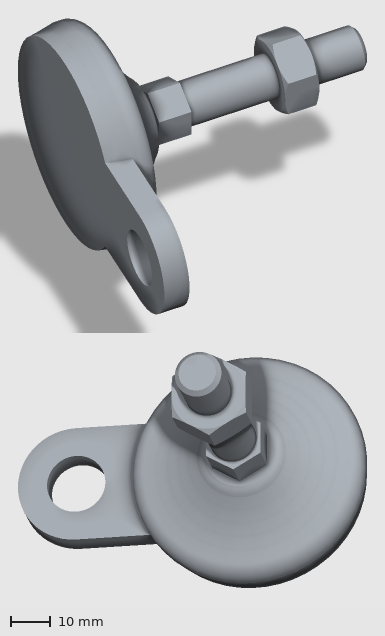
import cadquery as cq
import math


sole_radius = 28.5
rim_radius = 30.0
rim_start = 7.6
rim_end = 9.0
shoulder_radius = 4.2
shoulder_angle = 80.0
flare_end_radius = 11.4
flare_end = 20.4
crown_radius = 9.0
crown_sag = 0.25
foot_height = 22.0

lug_width = 30.0
lug_thickness = 7.0
lug_hole_offset = 45.0
lug_hole_diameter = 15.0

neck_diameter = 10.0
neck_length = 1.0
stud_hex_flats = 14.0
stud_hex_length = 9.0
stud_diameter = 12.0
stud_end = 82.0
stud_chamfer = 1.2

nut_flats = 19.0
nut_start = 57.0
nut_height = 9.5
nut_chamfer_angle = 30.0

hex_sides = 6
hex_half_angle = 180 / hex_sides

stud_hex_start = foot_height + neck_length


def plane_at(y):
    """Plane square to the stud axis at height y, with local x = X and normal = +Y."""
    return cq.Plane(origin=(0, y, 0), xDir=(1, 0, 0), normal=(0, 1, 0))


def cylinder(diameter, start, end):
    return cq.Workplane(plane_at(start)).circle(diameter / 2).extrude(end - start)


def corner_radius_of(flats):
    """Distance from the axis to a corner of a hexagon of the given width across flats."""
    return flats / 2 / math.cos(math.radians(hex_half_angle))


def hexagon(flats, start, length):
    """Hexagonal prism with two flats facing +X and -X."""
    corner_diameter = 2 * corner_radius_of(flats)
    prism = cq.Workplane(plane_at(start)).polygon(hex_sides, corner_diameter).extrude(length)
    return prism.rotate((0, 0, 0), (0, 1, 0), hex_half_angle)


def revolve_about_stud(profile):
    return profile.close().revolve(360, (0, 0, 0), (0, 1, 0))


def bowed_point(start, end, bow):
    """Midpoint of start-end moved by bow to the right of the direction of travel."""
    dx = end[0] - start[0]
    dy = end[1] - start[1]
    length = math.hypot(dx, dy)
    return (
        (start[0] + end[0]) / 2 + bow * dy / length,
        (start[1] + end[1]) / 2 - bow * dx / length,
    )


def make_foot():
    def shoulder_point(angle):
        turn = math.radians(angle)
        return (
            rim_radius - shoulder_radius * (1 - math.cos(turn)),
            rim_end + shoulder_radius * math.sin(turn),
        )

    shoulder_end = shoulder_point(shoulder_angle)
    flare_top = (flare_end_radius, flare_end)
    crown_edge = (crown_radius, foot_height)
    profile = (
        cq.Workplane("XY")
        .lineTo(sole_radius, 0)
        .lineTo(rim_radius, rim_start)
        .lineTo(rim_radius, rim_end)
        .threePointArc(shoulder_point(shoulder_angle / 2), shoulder_end)
        .tangentArcPoint(flare_top, relative=False)
        .threePointArc(bowed_point(flare_top, crown_edge, crown_sag), crown_edge)
        .lineTo(0, foot_height)
    )
    return revolve_about_stud(profile)


def make_lug():
    arm = cq.Workplane("XY").box(
        lug_hole_offset, lug_thickness, lug_width, centered=(False, False, True)
    )
    eye = cylinder(lug_width, 0, lug_thickness).translate((lug_hole_offset, 0, 0))
    hole = cylinder(lug_hole_diameter, 0, lug_thickness).translate((lug_hole_offset, 0, 0))
    return arm.union(eye).cut(hole)


def make_stud():
    shank_start = stud_hex_start + stud_hex_length
    shank = cylinder(stud_diameter, shank_start, stud_end).faces(">Y").chamfer(stud_chamfer)
    neck = cylinder(neck_diameter, foot_height, stud_hex_start)
    hex_collar = hexagon(stud_hex_flats, stud_hex_start, stud_hex_length)
    return neck.union(hex_collar).union(shank)


def make_nut():
    """Hexagon nut with both ends turned to a cone that starts at the flats."""
    flat_radius = nut_flats / 2
    corner_radius = corner_radius_of(nut_flats)
    cone_height = (corner_radius - flat_radius) * math.tan(math.radians(nut_chamfer_angle))
    nut_end = nut_start + nut_height
    envelope = revolve_about_stud(
        cq.Workplane("XY")
        .moveTo(0, nut_start)
        .lineTo(flat_radius, nut_start)
        .lineTo(corner_radius, nut_start + cone_height)
        .lineTo(corner_radius, nut_end - cone_height)
        .lineTo(flat_radius, nut_end)
        .lineTo(0, nut_end)
    )
    return hexagon(nut_flats, nut_start, nut_height).intersect(envelope)


result = make_foot().union(make_lug()).union(make_stud()).union(make_nut())